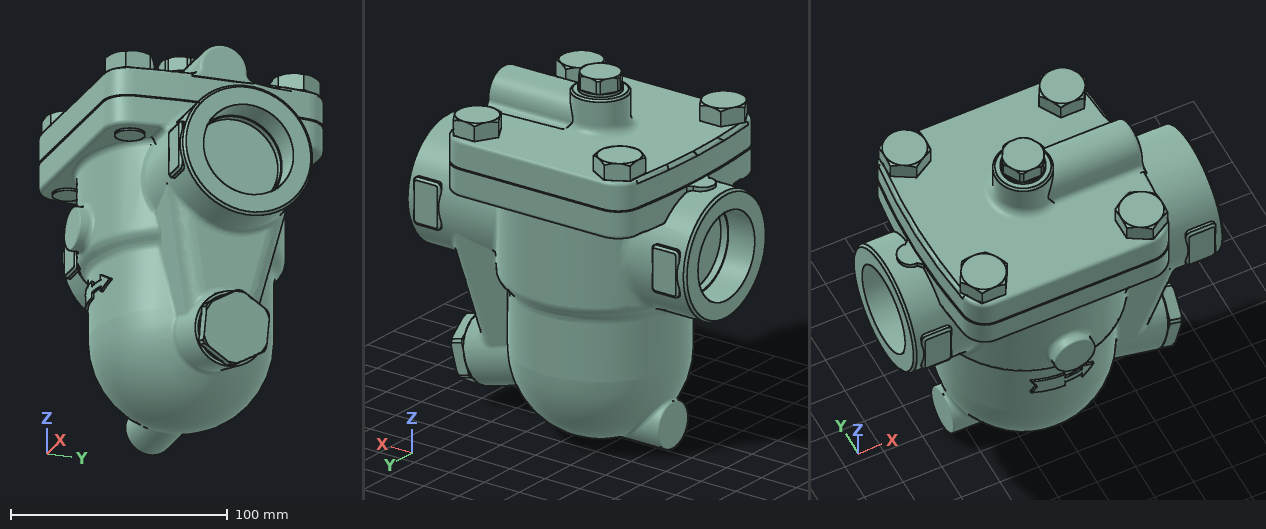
import math

import cadquery as cq


UPPER_RADIUS = 48.2
LOWER_RADIUS = 43.0
SHOULDER_TOP_Z = -23.5
SHOULDER_RADIUS = 6.0
DOME_CENTRE_Z = -63.0
NECK_FILLET = 3.0

FLANGE_BOTTOM_Z = 19.6
FLANGE_TOP_Z = 33.6
COVER_TOP_Z = 48.2
PLATE_HALF_WIDTH = 54.0
PLATE_HALF_LENGTH = 55.6
PLATE_CORNER_RADIUS = 12.2
PLATE_EDGE_FILLET = 2.0
GASKET_THICKNESS = 0.4
GASKET_INSET = 0.3
BOLT_OFFSET = 40.7

BOLT_FLATS = 21.0
BOLT_HEAD_HEIGHT = 8.6
BOLT_CHAMFER_DROP = 1.1
BOLT_FOOT_DIAMETER = 14.0
BOLT_FOOT_HEIGHT = 1.0

PORT_RADIUS = 32.0
INLET_X = -72.0
OUTLET_X = 88.0
PORT_CHAMFER = 1.2
PORT_BLEND = 4.0
OUTLET_FLANGE_BLEND = 3.0
BORE_RADIUS = 22.2
BORE_DEPTH = 15.0
BORE_SEAT_RADIUS = 21.7
BORE_SEAT_DEPTH = 19.0

PAD_LENGTH = 15.6
PAD_HEIGHT = 23.8
PAD_END_GAP = 4.0
PAD_FACE_Y = 32.4
PAD_ROOT_Y = 27.0
PAD_CORNER = 2.5
PAD_CHAMFER = 1.2

TAB_CENTRE_X = -58.4
TAB_RADIUS = 6.2
TAB_ROOT_X = -54.0
TAB_FLARE = 3.6
TAB_BOTTOM_Z = 30.0

VENT_RADIUS = 14.0
VENT_TOP_Z = 66.0
VENT_CHAMFER = 1.0
VENT_BASE_FILLET = 4.6
VENT_COLLAR_RADIUS = 10.5
VENT_COLLAR_HEIGHT = 1.4
VENT_HEX_FLATS = 19.2
VENT_HEX_ROUND_RADIUS = 10.6
VENT_HEX_HEIGHT = 7.3
PIPE_RADIUS = 12.25
PIPE_TOP_Z = 64.2
PIPE_END_X = 56.3
PIPE_END_FILLET = 2.4
PIPE_BASE_FILLET = 3.0

DRAIN_TILT = 15.0
DRAIN_RADIUS = 17.5
DRAIN_END_X = 64.9
DRAIN_END_Z = -80.4
DRAIN_LENGTH = 60.0
DRAIN_COLLAR_RADIUS = 16.0
DRAIN_COLLAR_LENGTH = 1.2
DRAIN_HEX_FLATS = 31.0
DRAIN_HEX_ROUND_RADIUS = 17.4
DRAIN_HEX_LENGTH = 6.8
HEX_CHAMFER = 0.8

RIB_TOP_Z = -5.0
RIB_BOTTOM_Z = -80.0
RIB_TOP_HALF_WIDTH = 31.4
RIB_BOTTOM_HALF_WIDTH = 14.5
RIB_TOP_EDGE_X = 61.7
RIB_BOTTOM_EDGE_X = 48.8
RIB_CORNER_RADIUS = 8.2
RIB_ROOT_NARROWING = 4.0
RIB_BLEND = 3.0

FRONT_BOSS_RADIUS = 10.4
FRONT_BOSS_Z = -14.3
FRONT_BOSS_FACE_Y = -54.0
FRONT_BOSS_BLEND = 2.5
LOW_BOSS_RADIUS = 11.9
LOW_BOSS_Z = -92.3
LOW_BOSS_FACE_X = -41.8
LOW_BOSS_BLEND = 2.0
BOSS_EDGE_FILLET = 0.8

ARROW_Z = -43.3
ARROW_HALF_HEIGHT = 4.1
ARROW_SHAFT_HALF_HEIGHT = 1.6
ARROW_TAIL_X = -16.2
ARROW_NOTCH_X = -13.7
ARROW_TAIL_END_X = -0.2
ARROW_HEAD_X = 9.0
ARROW_TIP_X = 15.9
ARROW_RELIEF = 1.1

CONTACT_TOLERANCE = 1e-3


def unite(pieces):
    """Union several solids in one step."""
    first, *others = [piece.val() for piece in pieces]
    return cq.Workplane(first.fuse(*others).clean())


def fillet_joints(pieces, radius):
    """Union solids and round the edges where the surfaces of two or more of them meet."""
    joined = pieces[0]
    for piece in pieces[1:]:
        joined = joined.union(piece)
    shells = [piece.val().Shells()[0] for piece in pieces]

    def on_joint(edge):
        middle = cq.Vertex.makeVertex(*edge.positionAt(0.5).toTuple())
        touching = [shell for shell in shells if middle.distance(shell) < CONTACT_TOLERANCE]
        return len(touching) > 1

    edges = [edge for edge in joined.val().Edges() if on_joint(edge)]
    return joined.newObject(edges).fillet(radius)


def x_cylinder(radius, x_from, x_to, z=0.0):
    """Cylinder along X."""
    return cq.Workplane("YZ", origin=(x_from, 0, z)).circle(radius).extrude(x_to - x_from)


def make_bowl():
    """Revolved bowl: upper cylinder, 45 degree shoulder, lower cylinder and dome.

    The upper cylinder runs up inside the flange and cover.
    """
    top_z = COVER_TOP_Z - PLATE_EDGE_FILLET
    diagonal = math.sqrt(0.5)
    arc_run = SHOULDER_RADIUS * (1 - diagonal)
    arc_drop = SHOULDER_RADIUS * diagonal
    cone_run = UPPER_RADIUS - LOWER_RADIUS - 2 * arc_run
    cone_top = (UPPER_RADIUS - arc_run, SHOULDER_TOP_Z - arc_drop)
    cone_bottom = (cone_top[0] - cone_run, cone_top[1] - cone_run)
    shoulder_bottom = (LOWER_RADIUS, cone_bottom[1] - arc_drop)
    dome_middle = (LOWER_RADIUS * diagonal, DOME_CENTRE_Z - LOWER_RADIUS * diagonal)
    return (
        cq.Workplane("XZ")
        .moveTo(0, top_z)
        .lineTo(UPPER_RADIUS, top_z)
        .lineTo(UPPER_RADIUS, SHOULDER_TOP_Z)
        .tangentArcPoint(cone_top, relative=False)
        .lineTo(*cone_bottom)
        .tangentArcPoint(shoulder_bottom, relative=False)
        .lineTo(LOWER_RADIUS, DOME_CENTRE_Z)
        .threePointArc(dome_middle, (0, DOME_CENTRE_Z - LOWER_RADIUS))
        .close()
        .revolve(360, (0, 0, 0), (0, 1, 0))
    )


def make_neck():
    """Concave ring that blends the bowl into the underside of the flange."""
    outer = UPPER_RADIUS + NECK_FILLET
    bottom_z = FLANGE_BOTTOM_Z - NECK_FILLET
    inset = NECK_FILLET * (1 - math.sqrt(0.5))
    return (
        cq.Workplane("XZ")
        .moveTo(0, FLANGE_BOTTOM_Z)
        .lineTo(outer, FLANGE_BOTTOM_Z)
        .threePointArc((UPPER_RADIUS + inset, FLANGE_BOTTOM_Z - inset), (UPPER_RADIUS, bottom_z))
        .lineTo(0, bottom_z)
        .close()
        .revolve(360, (0, 0, 0), (0, 1, 0))
    )


def make_plate(bottom_z, top_z):
    """Plate with straight front and back, bowed ends and rounded corners."""
    corner_x = BOLT_OFFSET
    corner_y = PLATE_HALF_WIDTH - PLATE_CORNER_RADIUS
    reach = PLATE_HALF_LENGTH - corner_x
    bow_radius = (corner_y**2 + reach**2 - PLATE_CORNER_RADIUS**2) / (2 * (reach - PLATE_CORNER_RADIUS))
    slope = math.asin(corner_y / (bow_radius - PLATE_CORNER_RADIUS))
    tangent_x = corner_x + PLATE_CORNER_RADIUS * math.cos(slope)
    tangent_y = corner_y + PLATE_CORNER_RADIUS * math.sin(slope)
    half_slope = (math.pi / 2 + slope) / 2
    middle_x = corner_x + PLATE_CORNER_RADIUS * math.cos(half_slope)
    middle_y = corner_y + PLATE_CORNER_RADIUS * math.sin(half_slope)
    return (
        cq.Workplane("XY", origin=(0, 0, bottom_z))
        .moveTo(-corner_x, PLATE_HALF_WIDTH)
        .lineTo(corner_x, PLATE_HALF_WIDTH)
        .threePointArc((middle_x, middle_y), (tangent_x, tangent_y))
        .threePointArc((PLATE_HALF_LENGTH, 0), (tangent_x, -tangent_y))
        .threePointArc((middle_x, -middle_y), (corner_x, -PLATE_HALF_WIDTH))
        .lineTo(-corner_x, -PLATE_HALF_WIDTH)
        .threePointArc((-middle_x, -middle_y), (-tangent_x, -tangent_y))
        .threePointArc((-PLATE_HALF_LENGTH, 0), (-tangent_x, tangent_y))
        .threePointArc((-middle_x, middle_y), (-corner_x, PLATE_HALF_WIDTH))
        .close()
        .extrude(top_z - bottom_z)
    )


def make_ports():
    """One straight cylinder through the bowl that forms both ports, chamfered at its ends."""
    return x_cylinder(PORT_RADIUS, INLET_X, OUTLET_X).faces("<X or >X").chamfer(PORT_CHAMFER)


def make_bore(end_x):
    """Blind bore with a slightly narrower seat at the bottom."""
    inward = -math.copysign(1, end_x)
    bore = x_cylinder(BORE_RADIUS, end_x, end_x + inward * BORE_DEPTH)
    return bore.union(x_cylinder(BORE_SEAT_RADIUS, end_x, end_x + inward * BORE_SEAT_DEPTH))


def make_pad(end_x, side):
    """Chamfered flat pad on one side (+1 or -1 in Y) of a port."""
    centre_x = end_x - math.copysign(PAD_END_GAP + PAD_LENGTH / 2, end_x)
    depth = PAD_FACE_Y - PAD_ROOT_Y
    return (
        cq.Workplane("XY")
        .box(PAD_LENGTH, depth, PAD_HEIGHT)
        .edges("|Y")
        .fillet(PAD_CORNER)
        .faces(">Y" if side > 0 else "<Y")
        .chamfer(PAD_CHAMFER)
        .translate((centre_x, side * (PAD_ROOT_Y + depth / 2), 0))
    )


def make_tab():
    """Round-ended tab on the inlet port, flared at 45 degrees where it meets the flange."""
    plane = cq.Workplane("XY", origin=(0, 0, TAB_BOTTOM_Z))
    flare_x = TAB_ROOT_X - TAB_FLARE
    return (
        plane.moveTo(TAB_CENTRE_X, TAB_RADIUS)
        .lineTo(flare_x, TAB_RADIUS)
        .lineTo(TAB_ROOT_X, TAB_RADIUS + TAB_FLARE)
        .lineTo(TAB_ROOT_X, -TAB_RADIUS - TAB_FLARE)
        .lineTo(flare_x, -TAB_RADIUS)
        .lineTo(TAB_CENTRE_X, -TAB_RADIUS)
        .threePointArc((TAB_CENTRE_X - TAB_RADIUS, 0), (TAB_CENTRE_X, TAB_RADIUS))
        .close()
        .extrude(FLANGE_TOP_Z - TAB_BOTTOM_Z)
    )


def drain_plane():
    """Plane of the drain boss end face, facing outward."""
    tilt = math.radians(DRAIN_TILT)
    outward = (math.cos(tilt), 0, -math.sin(tilt))
    across = (math.sin(tilt), 0, math.cos(tilt))
    return cq.Plane((DRAIN_END_X, 0, DRAIN_END_Z), across, outward)


def make_drain_boss():
    """Tilted cylinder running back from its end face into the bowl."""
    return cq.Workplane(drain_plane()).circle(DRAIN_RADIUS).extrude(-DRAIN_LENGTH)


def make_round_hex(plane, flats, round_radius, height, chamfer):
    """Hexagon with its corners turned off and its outer end chamfered."""
    corners = flats / math.cos(math.pi / 6)
    turned = cq.Workplane(plane).circle(round_radius).extrude(height)
    turned = turned.faces(cq.DirectionMinMaxSelector(plane.zDir)).chamfer(chamfer)
    return cq.Workplane(plane).polygon(6, corners).extrude(height).intersect(turned)


def make_plug(plane, collar_radius, collar_height, flats, round_radius, hex_height):
    """Screw plug: a round collar under a hexagon."""
    collar = cq.Workplane(plane).circle(collar_radius).extrude(collar_height)
    hex_plane = cq.Plane(plane.origin + plane.zDir * collar_height, plane.xDir, plane.zDir)
    return collar.union(make_round_hex(hex_plane, flats, round_radius, hex_height, HEX_CHAMFER))


def make_rib():
    """Rib that narrows downwards, with flat sides and rounded outer corners."""

    corner_inset = RIB_CORNER_RADIUS * (1 - math.sqrt(0.5))

    def section(z, half_width, edge_x):
        end_x = edge_x + RIB_CORNER_RADIUS
        end_y = half_width - RIB_CORNER_RADIUS
        root_y = half_width - RIB_ROOT_NARROWING
        corner_x = end_x - corner_inset
        corner_y = half_width - corner_inset
        return (
            cq.Workplane("XY", origin=(0, 0, z))
            .moveTo(0, root_y)
            .lineTo(edge_x, half_width)
            .threePointArc((corner_x, corner_y), (end_x, end_y))
            .lineTo(end_x, -end_y)
            .threePointArc((corner_x, -corner_y), (edge_x, -half_width))
            .lineTo(0, -root_y)
            .close()
            .wire()
            .val()
        )

    top = section(RIB_TOP_Z, RIB_TOP_HALF_WIDTH, RIB_TOP_EDGE_X)
    bottom = section(RIB_BOTTOM_Z, RIB_BOTTOM_HALF_WIDTH, RIB_BOTTOM_EDGE_X)
    return cq.Workplane(cq.Solid.makeLoft([bottom, top], True))


def make_front_boss():
    """Round boss on the front of the bowl, with a rounded face edge."""
    plane = cq.Workplane("XZ", origin=(0, 0, FRONT_BOSS_Z))
    boss = plane.circle(FRONT_BOSS_RADIUS).extrude(-FRONT_BOSS_FACE_Y)
    return boss.faces("<Y").edges().fillet(BOSS_EDGE_FILLET)


def make_low_boss():
    """Round boss low on the inlet side of the dome, with a rounded face edge."""
    boss = x_cylinder(LOW_BOSS_RADIUS, LOW_BOSS_FACE_X, 0, LOW_BOSS_Z)
    return boss.faces("<X").edges().fillet(BOSS_EDGE_FILLET)


def make_arrow():
    """Flow arrow standing proud of the lower cylinder and following its curve."""
    upper = [
        (ARROW_TAIL_X, ARROW_HALF_HEIGHT),
        (ARROW_TAIL_END_X, ARROW_HALF_HEIGHT),
        (ARROW_TAIL_END_X, ARROW_SHAFT_HALF_HEIGHT),
        (ARROW_HEAD_X, ARROW_SHAFT_HALF_HEIGHT),
        (ARROW_HEAD_X, ARROW_HALF_HEIGHT),
    ]
    lower = [(x, -height) for x, height in reversed(upper)]
    outline = [(ARROW_NOTCH_X, 0)] + upper + [(ARROW_TIP_X, 0)] + lower
    prism = cq.Workplane("XZ", origin=(0, 0, ARROW_Z)).polyline(outline).close().extrude(2 * LOWER_RADIUS)
    shell = (
        cq.Workplane("XY", origin=(0, 0, ARROW_Z - ARROW_HALF_HEIGHT))
        .circle(LOWER_RADIUS + ARROW_RELIEF)
        .circle(LOWER_RADIUS - ARROW_RELIEF)
        .extrude(2 * ARROW_HALF_HEIGHT)
    )
    return prism.intersect(shell)


def make_bolt(x, y, turn):
    """Hexagon head on the cover plus the end of the shank below the flange."""
    corners = BOLT_FLATS / math.cos(math.pi / 6)
    head = cq.Workplane("XY").polygon(6, corners).extrude(BOLT_HEAD_HEIGHT).rotate((0, 0, 0), (0, 0, 1), turn)
    rim_radius = corners
    slope = BOLT_CHAMFER_DROP / (corners / 2 - BOLT_FLATS / 2)
    rim_z = BOLT_HEAD_HEIGHT - slope * (rim_radius - BOLT_FLATS / 2)
    cone = (
        cq.Workplane("XZ")
        .lineTo(rim_radius, 0)
        .lineTo(rim_radius, rim_z)
        .lineTo(BOLT_FLATS / 2, BOLT_HEAD_HEIGHT)
        .lineTo(0, BOLT_HEAD_HEIGHT)
        .close()
        .revolve(360, (0, 0, 0), (0, 1, 0))
    )
    foot_z = FLANGE_BOTTOM_Z - BOLT_FOOT_HEIGHT
    shank_height = FLANGE_TOP_Z - foot_z
    foot = cq.Workplane("XY", origin=(x, y, foot_z)).circle(BOLT_FOOT_DIAMETER / 2).extrude(shank_height)
    return head.intersect(cone).translate((x, y, COVER_TOP_Z)).union(foot)


def make_cover():
    """Cover plate with the central vent boss and the pipe that leads to the outlet side."""
    plate = make_plate(FLANGE_TOP_Z, COVER_TOP_Z).faces(">Z").edges().fillet(PLATE_EDGE_FILLET)
    root_z = COVER_TOP_Z - PLATE_EDGE_FILLET
    vent = cq.Workplane("XY", origin=(0, 0, root_z)).circle(VENT_RADIUS).extrude(VENT_TOP_Z - root_z)
    vent = vent.faces(">Z").chamfer(VENT_CHAMFER)
    return fillet_joints([plate, vent], VENT_BASE_FILLET).union(make_pipe(root_z))


def make_gasket_groove():
    """Narrow groove around the joint, where the gasket sits back between flange and cover."""
    band = make_plate(FLANGE_TOP_Z, FLANGE_TOP_Z + GASKET_THICKNESS)
    outline = band.faces("<Z").wires().val()
    gasket_outline = outline.offset2D(-GASKET_INSET)[0]
    gasket = cq.Solid.extrudeLinear(gasket_outline, [], cq.Vector(0, 0, GASKET_THICKNESS))
    return band.cut(cq.Workplane(gasket))


def make_pipe(root_z):
    """Half-round pipe on the cover, flared where its sides meet the cover and rounded at its end."""
    axis_z = PIPE_TOP_Z - PIPE_RADIUS
    foot_y = PIPE_RADIUS + PIPE_BASE_FILLET
    flare_z = COVER_TOP_Z + PIPE_BASE_FILLET
    flare_inset = PIPE_BASE_FILLET * (1 - math.sqrt(0.5))
    flare_y = PIPE_RADIUS + flare_inset
    flare_middle_z = COVER_TOP_Z + flare_inset
    pipe = (
        cq.Workplane("YZ")
        .moveTo(foot_y, root_z)
        .lineTo(foot_y, COVER_TOP_Z)
        .threePointArc((flare_y, flare_middle_z), (PIPE_RADIUS, flare_z))
        .lineTo(PIPE_RADIUS, axis_z)
        .threePointArc((0, PIPE_TOP_Z), (-PIPE_RADIUS, axis_z))
        .lineTo(-PIPE_RADIUS, flare_z)
        .threePointArc((-flare_y, flare_middle_z), (-foot_y, COVER_TOP_Z))
        .lineTo(-foot_y, root_z)
        .close()
        .extrude(PIPE_END_X)
    )
    arch = cq.selectors.BoxSelector(
        (PIPE_END_X - 1, -foot_y, COVER_TOP_Z + flare_inset / 2),
        (PIPE_END_X + 1, foot_y, PIPE_TOP_Z + 1),
    )
    return pipe.edges(arch).fillet(PIPE_END_FILLET)


def make_flange():
    """Body flange, blended into the outlet port where the port passes under its end."""
    flange = make_plate(FLANGE_BOTTOM_Z, FLANGE_TOP_Z).faces("<Z").edges().fillet(PLATE_EDGE_FILLET)
    outlet = x_cylinder(PORT_RADIUS, 0, OUTLET_X - PORT_CHAMFER)
    return fillet_joints([flange, outlet], OUTLET_FLANGE_BLEND)


def make_body():
    """Bowl and flange with every part cast onto them."""
    body = fillet_joints([make_bowl(), make_ports()], PORT_BLEND)
    body = fillet_joints([body, make_low_boss()], LOW_BOSS_BLEND)
    body = fillet_joints([body, make_front_boss()], FRONT_BOSS_BLEND)
    body = fillet_joints([body, make_drain_boss(), make_rib()], RIB_BLEND)
    return unite([body, make_neck(), make_flange()])


def make_vent_plug():
    """Screw plug on top of the vent boss."""
    return make_plug(
        cq.Plane((0, 0, VENT_TOP_Z), (1, 0, 0), (0, 0, 1)),
        VENT_COLLAR_RADIUS,
        VENT_COLLAR_HEIGHT,
        VENT_HEX_FLATS,
        VENT_HEX_ROUND_RADIUS,
        VENT_HEX_HEIGHT,
    )


def make_drain_plug():
    """Screw plug in the end of the drain boss."""
    return make_plug(
        drain_plane(),
        DRAIN_COLLAR_RADIUS,
        DRAIN_COLLAR_LENGTH,
        DRAIN_HEX_FLATS,
        DRAIN_HEX_ROUND_RADIUS,
        DRAIN_HEX_LENGTH,
    )


def make_bolts():
    """Four bolts; neighbours are turned by 30 degrees against each other."""
    bolts = []
    for side_x in (1, -1):
        for side_y in (1, -1):
            turn = 0 if side_x == side_y else 30
            bolts.append(make_bolt(side_x * BOLT_OFFSET, side_y * BOLT_OFFSET, turn))
    return bolts


def make_trap():
    """Body with the cover, bolts, plugs and raised details, then the groove and bores cut out."""
    additions = [make_cover(), make_tab(), make_arrow(), make_vent_plug(), make_drain_plug()]
    additions += [make_pad(end_x, side) for end_x in (INLET_X, OUTLET_X) for side in (1, -1)]
    additions += make_bolts()
    part = unite([make_body()] + additions)
    part = part.cut(make_gasket_groove()).cut(make_bore(INLET_X)).cut(make_bore(OUTLET_X))
    return cq.Workplane(part.solids().val())


result = make_trap()